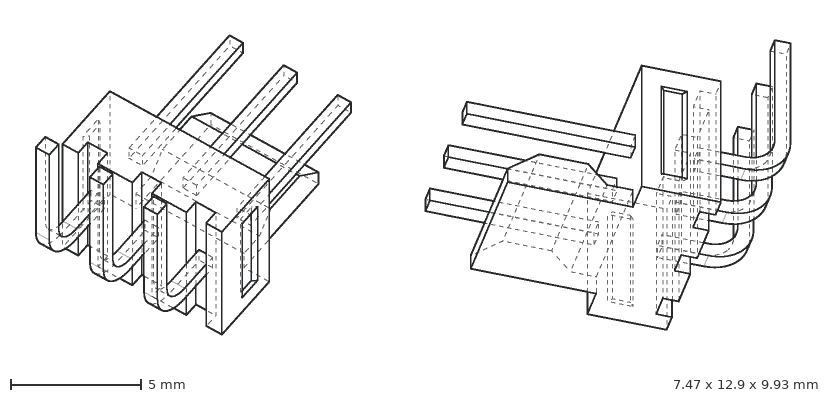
import cadquery as cq

HOUSING_WIDTH = 7.47
HOUSING_DEPTH = 3.17
HOUSING_HEIGHT = 6.35

PIN_PITCH = 2.53
PIN_SIZE = 0.63
PIN_BASE_Z = 2.86
PIN_TOP_Z = 9.93
PIN_FRONT_REACH = 3.04
PIN_LENGTH = 12.93
BEND_INNER_RADIUS = 1.19
PIN_CENTERS = [-PIN_PITCH, 0, PIN_PITCH]

GROOVE_WIDTH = 0.92
GROOVE_DEPTH = 0.63

RAMP_WIDTH = 2 * PIN_PITCH
RAMP_LENGTH = 5.0
RAMP_NECK_HEIGHT = 0.89
RAMP_CREST_HEIGHT = 1.8
RAMP_TIP_HEIGHT = 0.71
RAMP_NECK_END = 1.03
RAMP_CREST_START = 1.78
RAMP_CREST_END = 3.74

POCKET_FRONT_Y = 1.35
POCKET_BACK_Y = 2.38
POCKET_TAPER = 0.15
POCKET_DEPTH = 0.2
POCKET_MARGIN_Z = 0.89


def make_housing():
    housing = cq.Workplane("XY").box(
        HOUSING_WIDTH, HOUSING_DEPTH, HOUSING_HEIGHT, centered=(True, False, False)
    )
    for x in PIN_CENTERS:
        groove = cq.Workplane("XY").box(
            GROOVE_WIDTH, GROOVE_DEPTH, HOUSING_HEIGHT, centered=(True, False, False)
        )
        housing = housing.cut(groove.translate((x, 0, 0)))
    return housing


def make_end_pocket():
    """Pocket in the -X end; its front and back walls converge inward."""
    mouth_x = -HOUSING_WIDTH / 2
    floor_x = mouth_x + POCKET_DEPTH
    return (
        cq.Workplane("XY", origin=(0, 0, POCKET_MARGIN_Z))
        .moveTo(mouth_x, POCKET_FRONT_Y)
        .lineTo(floor_x, POCKET_FRONT_Y + POCKET_TAPER)
        .lineTo(floor_x, POCKET_BACK_Y - POCKET_TAPER)
        .lineTo(mouth_x, POCKET_BACK_Y)
        .close()
        .extrude(HOUSING_HEIGHT - 2 * POCKET_MARGIN_Z)
    )


def make_ramp():
    back_y = HOUSING_DEPTH
    return (
        cq.Workplane("YZ")
        .moveTo(back_y, 0)
        .lineTo(back_y + RAMP_LENGTH, 0)
        .lineTo(back_y + RAMP_LENGTH, RAMP_TIP_HEIGHT)
        .lineTo(back_y + RAMP_CREST_END, RAMP_CREST_HEIGHT)
        .lineTo(back_y + RAMP_CREST_START, RAMP_CREST_HEIGHT)
        .lineTo(back_y + RAMP_NECK_END, RAMP_NECK_HEIGHT)
        .lineTo(back_y, RAMP_NECK_HEIGHT)
        .close()
        .extrude(RAMP_WIDTH / 2, both=True)
    )


def make_pin(x):
    """L-shaped pin: straight through the housing, then bent up in front of it."""
    front_y = -PIN_FRONT_REACH
    back_y = front_y + PIN_LENGTH
    outer_radius = BEND_INNER_RADIUS + PIN_SIZE
    bend_y = front_y + outer_radius
    bend_z = PIN_BASE_Z + outer_radius
    return (
        cq.Workplane("YZ", origin=(x, 0, 0))
        .moveTo(back_y, PIN_BASE_Z)
        .lineTo(bend_y, PIN_BASE_Z)
        .radiusArc((front_y, bend_z), outer_radius)
        .lineTo(front_y, PIN_TOP_Z)
        .lineTo(front_y + PIN_SIZE, PIN_TOP_Z)
        .lineTo(front_y + PIN_SIZE, bend_z)
        .radiusArc((bend_y, PIN_BASE_Z + PIN_SIZE), -BEND_INNER_RADIUS)
        .lineTo(back_y, PIN_BASE_Z + PIN_SIZE)
        .close()
        .extrude(PIN_SIZE / 2, both=True)
    )


pocket = make_end_pocket()
result = make_housing().cut(pocket).cut(pocket.mirror("YZ"))
result = result.union(make_ramp())
for pin_x in PIN_CENTERS:
    result = result.union(make_pin(pin_x))